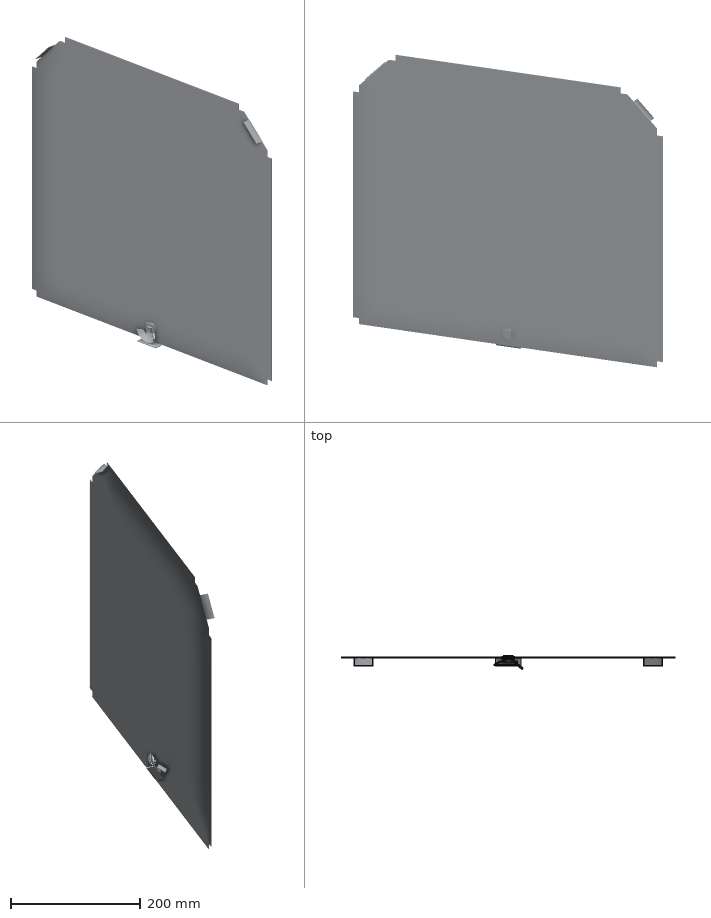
import cadquery as cq


panel_width = 515.6
overall_height = 457.8
sheet_thickness = 1.0
notch_size = 10.0
corner_leg = 49.5
corner_shoulder = 11.5
lip_width = 40.0
lip_reach = 12.5
lip_overlap = 3.0
bottom_bend_radius = 2.7
corner_bend_radius = 1.2
panel_height = overall_height - bottom_bend_radius

lock_height = 20.5
head_diameter = 15.0
head_thickness = 2.6
flange_diameter = 20.0
flange_thickness = 0.8
barrel_diameter = 12.0
nut_diameter = 20.0
nut_thickness = 1.8
shaft_size = 8.4
shaft_reach = 6.6
socket_size = 4.0
socket_depth = 4.0

cam_thickness = 1.5
hub_width = 18.0
hub_bottom = 13.3
hub_top = 29.8
tongue_width = 14.0
wing_center_height = 23.75
wing_inner_radius = 14.5
wing_outer_radius = 22.75
wing_inner_reach = 5.0
wing_outer_reach = 10.0
wing_top = 17.0
wing_right = 14.5
tab_length = 14.0
tab_height = 7.0
tab_thickness = 2.4
tab_center_x = 16.2
tab_center_height = 13.5
tab_swing = 40.0
tab_tilt = 18.0
overall_depth = 21.36
cam_reach = overall_depth - head_thickness - sheet_thickness


def lock_plane(y):
    """Workplane on the lock axis, facing -Y."""
    return cq.Workplane("XZ", origin=(0, y, lock_height))


def lock_disc(back_y, diameter, thickness):
    """Disc on the lock axis, from its rear face at back_y towards -Y."""
    return lock_plane(back_y).circle(diameter / 2).extrude(thickness)


def lock_shaft():
    """Square shaft from the inner face of the panel."""
    return lock_plane(0).rect(shaft_size, shaft_size).extrude(shaft_reach)


def make_lip(bend_radius):
    """Lip bent towards -Y below an edge along X at Z = 0, centred on X = 0."""
    inner_radius = bend_radius - sheet_thickness
    lip_profile = (
        cq.Workplane("YZ")
        .moveTo(0, lip_overlap)
        .lineTo(sheet_thickness, lip_overlap)
        .lineTo(sheet_thickness, 0)
        .radiusArc((-inner_radius, -bend_radius), bend_radius)
        .lineTo(-lip_reach, -bend_radius)
        .lineTo(-lip_reach, -inner_radius)
        .lineTo(-inner_radius, -inner_radius)
        .radiusArc((0, 0), -inner_radius)
        .close()
    )
    return lip_profile.extrude(lip_width / 2, both=True)


def make_panel():
    half_width = panel_width / 2
    notch_x = half_width - notch_size
    notch_z = panel_height - notch_size
    cut_x = notch_x - corner_leg
    cut_z = notch_z - corner_leg
    right_side = [
        (notch_x, 0),
        (notch_x, notch_size),
        (half_width, notch_size),
        (half_width, cut_z - corner_shoulder),
        (notch_x, cut_z - corner_shoulder),
        (notch_x, cut_z),
        (cut_x, notch_z),
        (cut_x - corner_shoulder, notch_z),
        (cut_x - corner_shoulder, panel_height),
    ]
    left_side = [(-x, z) for x, z in reversed(right_side)]
    sheet = cq.Workplane("XZ").polyline(right_side + left_side).close().extrude(-sheet_thickness)

    panel = sheet.union(make_lip(bottom_bend_radius))
    corner_x = (notch_x + cut_x) / 2
    corner_z = (notch_z + cut_z) / 2
    for side in (-1, 1):
        corner_lip = make_lip(corner_bend_radius).rotate((0, 0, 0), (0, 1, 0), 180 + side * 45)
        panel = panel.union(corner_lip.translate((side * corner_x, 0, corner_z)))

    lock_hole = lock_disc(sheet_thickness, barrel_diameter, sheet_thickness)
    return panel.cut(lock_hole)


def make_lock_housing():
    head = lock_disc(sheet_thickness + head_thickness, head_diameter, head_thickness)
    flange = lock_disc(sheet_thickness + flange_thickness, flange_diameter, flange_thickness)
    barrel = lock_disc(sheet_thickness, barrel_diameter, sheet_thickness)
    nut = lock_disc(0, nut_diameter, nut_thickness)
    socket = lock_plane(-shaft_reach).rect(socket_size, socket_size).extrude(-socket_depth)
    return head.union(flange).union(barrel).union(nut).union(lock_shaft()).cut(socket)


def make_wing():
    """Conical ring about an axis along Y, of which only the lower part is kept."""
    ring = (
        cq.Workplane("XY")
        .polyline([
            (wing_inner_radius, -wing_inner_reach),
            (wing_outer_radius, -wing_outer_reach),
            (wing_outer_radius, -wing_outer_reach - cam_thickness),
            (wing_inner_radius, -wing_inner_reach - cam_thickness),
        ])
        .close()
        .revolve(360, (0, 0, 0), (0, 1, 0))
        .translate((0, 0, wing_center_height))
    )
    span = 2 * wing_outer_radius
    kept_space = (
        cq.Workplane("XY", origin=(wing_right - span / 2, 0, wing_top))
        .rect(span, span)
        .extrude(-span)
    )
    return ring.intersect(kept_space)


def make_tongue():
    """Sloping web from the hub's lower edge to the inner rim of the wing."""
    rim_height = wing_center_height - wing_inner_radius - cam_thickness
    return (
        cq.Workplane("YZ")
        .polyline([
            (-nut_thickness, hub_bottom + cam_thickness),
            (-nut_thickness, hub_bottom),
            (-wing_inner_reach - cam_thickness / 2, rim_height),
            (-wing_inner_reach - cam_thickness, rim_height + cam_thickness),
            (-nut_thickness - cam_thickness, hub_bottom + cam_thickness),
        ])
        .close()
        .extrude(tongue_width / 2, both=True)
    )


def make_grip_tab():
    """Tab at the +X end of the wing, swung out so that its far corner is the cam's most -Y point."""
    tab = (
        cq.Workplane("XY")
        .box(tab_length, tab_thickness, tab_height)
        .rotate((0, 0, 0), (0, 1, 0), tab_tilt)
        .rotate((0, 0, 0), (0, 0, 1), -tab_swing)
    )
    lowest_y = tab.val().BoundingBox().ymin
    return tab.translate((tab_center_x, -cam_reach - lowest_y, tab_center_height))


def make_cam():
    hub_middle = (hub_bottom + hub_top) / 2
    hub = (
        cq.Workplane("XZ", origin=(0, -nut_thickness, hub_middle))
        .rect(hub_width, hub_top - hub_bottom)
        .extrude(cam_thickness)
    )
    return hub.union(make_tongue()).union(make_wing()).union(make_grip_tab()).cut(lock_shaft())


panel = make_panel().solids()
lock_housing = make_lock_housing().solids()
cam = make_cam().solids()

result = cq.Compound.makeCompound([panel.val(), lock_housing.val(), cam.val()])